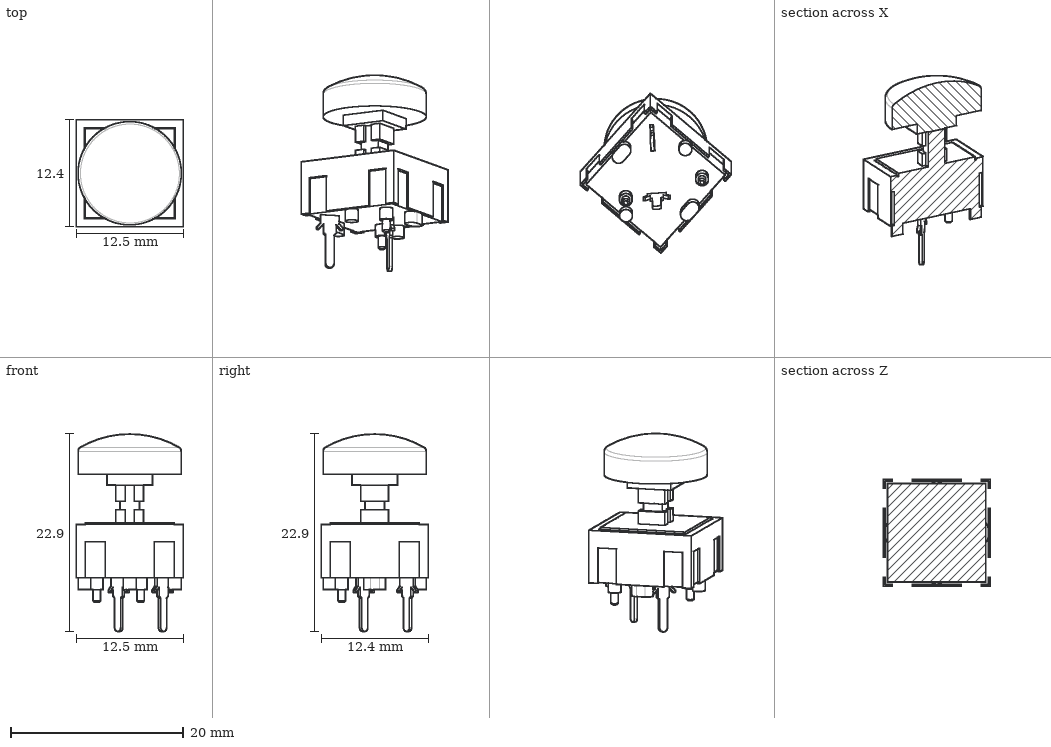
import cadquery as cq
import math


HOUSING_SIDE = 12.45
HOUSING_HEIGHT = 6.21
LID_SIDE = 10.3
LID_RISE = 0.2
LID_GAP = 0.14
LID_GAP_DEPTH = 0.2

SKIRT_THICKNESS = 0.23
SKIRT_HEIGHT = 4.2
CORE_SIDE = 11.45
WINDOW_WIDTH = 2.3
WINDOW_OFFSET = (LID_SIDE - WINDOW_WIDTH) / 2

PITCH = 5.1
NEAR_HOLE = PITCH / 4
FAR_HOLE = 3 * PITCH / 4
STANDOFF_DIAMETER = 1.5
STANDOFF_HEIGHT = 1.35
STANDOFF_OFFSET = 5.25
OBLONG_STRETCH = 1.03
PEG_DIAMETER = 0.9
PEG_LENGTH = 2.85
PEG_CHAMFER = 0.2
PEG_PLACES = [(-FAR_HOLE, FAR_HOLE), (NEAR_HOLE, -FAR_HOLE)]

LEG_LENGTH = 6.21
LEG_THICKNESS = 0.4
LEG_TIP_WIDTH = 1.0
LEG_NECK_WIDTH = 1.5
LEG_ROOT_WIDTH = 2.18
LEG_NECK_DEPTH = 2.1
BARB_SPAN = 3.12
BARB_START = 0.95
BARB_DEPTH = 1.7
BARB_FOOT = 1.33
BARB_ANGLE = 43
BARB_TIP_RADIUS = 0.15
LEG_PLACES = [(-NEAR_HOLE, -NEAR_HOLE, -45), (FAR_HOLE, FAR_HOLE, 45)]

STEM_SIDE = 3.25
STEM_NECK_SIDE = 2.3
STEM_SLOT_WIDTH = 1.0
STEM_HEIGHT = 4.56
STEM_NECK_BOTTOM = 1.72
STEM_NECK_HEIGHT = 0.96

CAP_DIAMETER = 12.0
CAP_EDGE_HEIGHT = 3.0
CAP_DOME_RISE = 1.7
CAP_EDGE_RADIUS = 0.5
COLLAR_SIDE = 5.32
COLLAR_HEIGHT = 1.24


def square_block(side, height, bottom):
    """Square block centred on the Z axis."""
    return cq.Workplane("XY").workplane(offset=bottom).rect(side, side).extrude(height)


def cut_windows(shell):
    """Cut two windows through the skirt on each of the four sides, open at the bottom."""
    skirt_middle = (HOUSING_SIDE - SKIRT_THICKNESS) / 2
    window_pair = (
        cq.Workplane("XY")
        .pushPoints([(place, -skirt_middle) for place in (-WINDOW_OFFSET, WINDOW_OFFSET)])
        .rect(WINDOW_WIDTH, SKIRT_THICKNESS)
        .extrude(SKIRT_HEIGHT)
    )
    for quarter_turns in range(4):
        shell = shell.cut(window_pair.rotate((0, 0, 0), (0, 0, 1), 90 * quarter_turns))
    return shell


def make_shell():
    """Housing block with a raised lid in a groove, and a windowed skirt around the core."""
    shell = square_block(HOUSING_SIDE, HOUSING_HEIGHT, 0)
    groove_floor = HOUSING_HEIGHT - LID_GAP_DEPTH
    shell = shell.cut(square_block(LID_SIDE + 2 * LID_GAP, LID_GAP_DEPTH, groove_floor))
    shell = shell.union(square_block(LID_SIDE, LID_GAP_DEPTH + LID_RISE, groove_floor))
    skirt_inside = square_block(HOUSING_SIDE - 2 * SKIRT_THICKNESS, SKIRT_HEIGHT, 0)
    core = square_block(CORE_SIDE, SKIRT_HEIGHT, 0)
    return cut_windows(shell.cut(skirt_inside.cut(core)))


def make_standoffs():
    """Round and oblong standoffs at the middle of each side, and round ones at the pegs."""
    round_places = [(0, STANDOFF_OFFSET), (0, -STANDOFF_OFFSET)] + PEG_PLACES
    oblong_places = [(STANDOFF_OFFSET, 0), (-STANDOFF_OFFSET, 0)]
    base = cq.Workplane("XY")
    round_standoffs = base.pushPoints(round_places).circle(STANDOFF_DIAMETER / 2).extrude(-STANDOFF_HEIGHT)
    oblong_standoffs = (
        base.pushPoints(oblong_places)
        .slot2D(STANDOFF_DIAMETER + OBLONG_STRETCH, STANDOFF_DIAMETER, 90)
        .extrude(-STANDOFF_HEIGHT)
    )
    return round_standoffs.union(oblong_standoffs)


def make_pegs():
    """Locating pegs with chamfered tips."""
    return (
        cq.Workplane("XY")
        .pushPoints(PEG_PLACES)
        .circle(PEG_DIAMETER / 2)
        .extrude(-PEG_LENGTH)
        .faces("<Z")
        .chamfer(PEG_CHAMFER)
    )


def make_leg_blade():
    """Terminal leg hanging from the underside on the Z axis, flat in the XZ plane."""
    tip_half = LEG_TIP_WIDTH / 2
    neck_half = LEG_NECK_WIDTH / 2
    taper = neck_half - tip_half
    blade = (
        cq.Workplane("XZ")
        .moveTo(-neck_half, 0)
        .lineTo(-neck_half, -LEG_NECK_DEPTH)
        .lineTo(-tip_half, -LEG_NECK_DEPTH - taper)
        .lineTo(-tip_half, -LEG_LENGTH + tip_half)
        .threePointArc((0, -LEG_LENGTH), (tip_half, -LEG_LENGTH + tip_half))
        .lineTo(tip_half, -LEG_NECK_DEPTH - taper)
        .lineTo(neck_half, -LEG_NECK_DEPTH)
        .lineTo(neck_half, 0)
        .close()
        .extrude(LEG_THICKNESS / 2, both=True)
    )
    barb = make_barb()
    return blade.union(barb).union(barb.mirror("YZ"))


def make_barb():
    """Shoulder on the +X edge of a leg, with a downward arm that flares out."""
    root_half = LEG_ROOT_WIDTH / 2
    neck_half = LEG_NECK_WIDTH / 2
    barb_half = BARB_SPAN / 2
    drop_per_width = 1 / math.tan(math.radians(BARB_ANGLE))
    outer_bend_depth = BARB_START + (barb_half - root_half) * drop_per_width
    arm_root_depth = BARB_DEPTH - (BARB_FOOT - neck_half) * drop_per_width
    arc_centre_x = barb_half - BARB_TIP_RADIUS
    arc_centre_depth = BARB_DEPTH - BARB_TIP_RADIUS
    arc_shift = BARB_TIP_RADIUS * math.sqrt(0.5)
    return (
        cq.Workplane("XZ")
        .lineTo(root_half, 0)
        .lineTo(root_half, -BARB_START)
        .lineTo(barb_half, -outer_bend_depth)
        .lineTo(barb_half, -arc_centre_depth)
        .threePointArc((arc_centre_x + arc_shift, -arc_centre_depth - arc_shift), (arc_centre_x, -BARB_DEPTH))
        .lineTo(BARB_FOOT, -BARB_DEPTH)
        .lineTo(neck_half, -arm_root_depth)
        .lineTo(0, -arm_root_depth)
        .close()
        .extrude(LEG_THICKNESS / 2, both=True)
    )


def make_stem():
    """Square plunger with a slot in front and back, and a snap-in neck for the cap."""
    stem = square_block(STEM_SIDE, STEM_HEIGHT, HOUSING_HEIGHT)
    stem_base = cq.Workplane("XY").workplane(offset=HOUSING_HEIGHT)
    slots = stem_base.rect(STEM_SLOT_WIDTH, STEM_SIDE).extrude(STEM_HEIGHT)
    neck_ring = square_block(STEM_SIDE, STEM_NECK_HEIGHT, HOUSING_HEIGHT + STEM_NECK_BOTTOM)
    core = square_block(STEM_NECK_SIDE, STEM_HEIGHT, HOUSING_HEIGHT)
    return stem.cut(slots).cut(neck_ring).union(core)


def make_switch():
    """Housing, standoffs, pegs, legs and stem as one body."""
    switch = make_shell().union(make_standoffs()).union(make_pegs()).union(make_stem())
    blade = make_leg_blade()
    for x, y, turn in LEG_PLACES:
        switch = switch.union(blade.rotate((0, 0, 0), (0, 0, 1), turn).translate((x, y, 0)))
    return switch


def make_cap():
    """Domed round cap with a square collar that sits on the stem."""
    collar_bottom = HOUSING_HEIGHT + STEM_HEIGHT
    cap_bottom = collar_bottom + COLLAR_HEIGHT
    radius = CAP_DIAMETER / 2
    dome_edge = cap_bottom + CAP_EDGE_HEIGHT
    dome_radius = (radius**2 + CAP_DOME_RISE**2) / (2 * CAP_DOME_RISE)
    dome_top = dome_edge + CAP_DOME_RISE
    half_radius = radius / 2
    half_height = dome_top - dome_radius + math.sqrt(dome_radius**2 - half_radius**2)
    button = (
        cq.Workplane("XZ")
        .moveTo(0, cap_bottom)
        .lineTo(radius, cap_bottom)
        .lineTo(radius, dome_edge)
        .threePointArc((half_radius, half_height), (0, dome_top))
        .close()
        .revolve(360, (0, 0, 0), (0, 1, 0))
    )
    dome_rim = cq.selectors.BoxSelector(
        (-radius, -radius, dome_edge - CAP_EDGE_RADIUS), (radius, radius, dome_edge + CAP_EDGE_RADIUS)
    )
    button = button.edges("%CIRCLE").edges(dome_rim).fillet(CAP_EDGE_RADIUS)
    return button.union(square_block(COLLAR_SIDE, COLLAR_HEIGHT, collar_bottom))


switch = make_switch()
cap = make_cap()
result = cq.Compound.makeCompound([switch.val(), cap.val()])